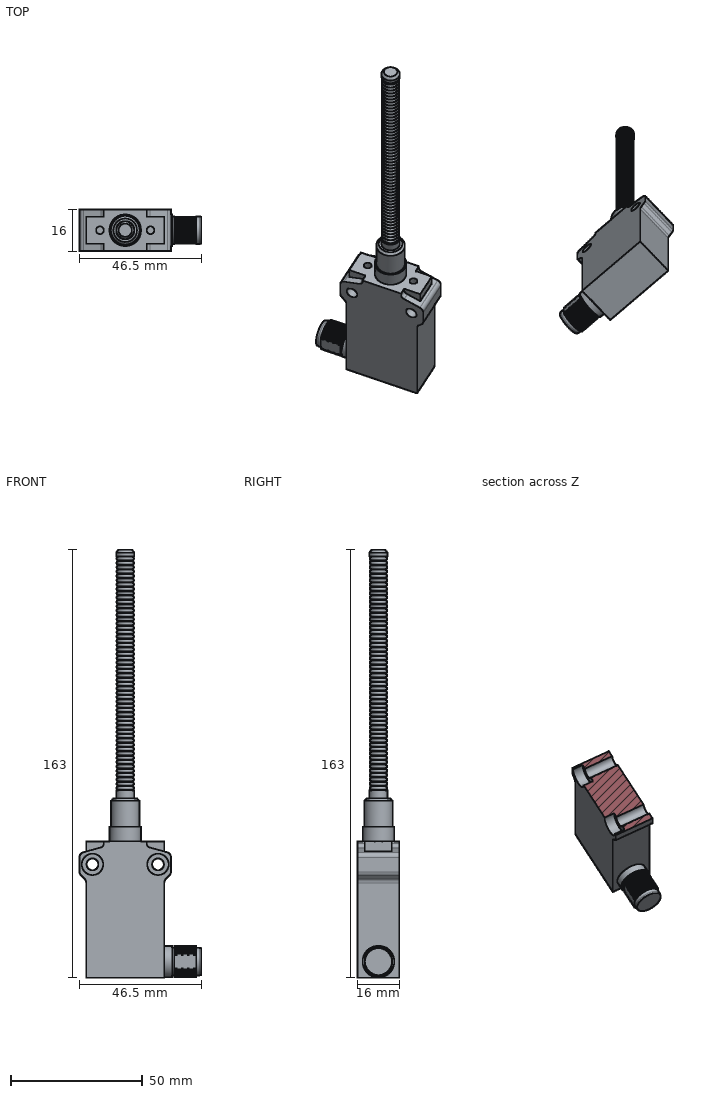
import cadquery as cq
import math

BODY_WIDTH = 29.8
BODY_DEPTH = 16.0
BODY_HEIGHT = 52.0

EAR_SPAN = 34.9
EAR_LOWER_Z = 39.6
EAR_UPPER_Z = 47.5
EAR_SLOPE = math.radians(15)
EAR_FILLET = 2.0
SHOULDER_HALF_WIDTH = 8.2
SHOULDER_FILLET = 1.6
BLOCK_DEPTH = 10.3

SCREW_SPACING = 25.0
SCREW_Z = 43.2
SCREW_DIAMETER = 4.4
SCREW_HEAD_DIAMETER = 8.2
SCREW_HEAD_DEPTH = 4.0
TOP_HOLE_SPACING = 19.2
TOP_HOLE_DIAMETER = 3.0
TOP_HOLE_DEPTH = 4.9

COLLAR_DIAMETER = 12.0
COLLAR_HEIGHT = 5.5
SLEEVE_DIAMETER = 11.0
SLEEVE_HEIGHT = 10.8
SLEEVE_CHAMFER = 1.0
FERRULE_DIAMETER = 7.0
FERRULE_HEIGHT = 3.1

TOTAL_HEIGHT = 163.0
CAP_DIAMETER = FERRULE_DIAMETER
CAP_HEIGHT = 2.6
CAP_CHAMFER_HEIGHT = 1.1
CAP_CHAMFER_DEPTH = 1.0

SPRING_DIAMETER = 6.7
COIL_COUNT = 54
COIL_GAP = 0.3

CONNECTOR_Z = 6.2
CONNECTOR_END_X = 29.0
STUB_DIAMETER = 12.0
STUB_LENGTH = 3.0
NECK_DIAMETER = 10.6
NECK_LENGTH = 0.8
FLAT_SPACING = 10.3
KNURL_DIAMETER = 11.9
KNURL_LENGTH = 8.3
KNURL_TOOTH_COUNT = 36
KNURL_TOOTH_DEPTH = 0.25
RING_COUNT = 4
RING_PITCH = 2.3
RING_WIDTH = 0.5
END_CHAMFER_LENGTH = 0.8
END_CHAMFER_DEPTH = 0.2


def box_between(x_min, x_max, y_size, z_min, z_max):
    """A box centred on Y."""
    return cq.Workplane("XY").box(
        x_max - x_min, y_size, z_max - z_min, centered=(False, True, False)
    ).translate((x_min, 0, z_min))


def ear_plate():
    """The eared outline over the full depth, with its sloping shoulders."""
    body_x = BODY_WIDTH / 2
    ear_x = EAR_SPAN / 2
    shoulder_z = EAR_UPPER_Z + (ear_x - SHOULDER_HALF_WIDTH) * math.tan(EAR_SLOPE)
    right_half = [
        (body_x, 0),
        (body_x, EAR_LOWER_Z - (ear_x - body_x)),
        (ear_x, EAR_LOWER_Z),
        (ear_x, EAR_UPPER_Z),
        (SHOULDER_HALF_WIDTH, shoulder_z),
        (SHOULDER_HALF_WIDTH, BODY_HEIGHT),
    ]
    left_half = [(-x, z) for x, z in reversed(right_half)]
    plate = cq.Workplane("XZ").polyline(right_half + left_half).close().extrude(BODY_DEPTH / 2, both=True)

    margin = 0.2
    ear_edges = cq.selectors.BoxSelector(
        (-ear_x - margin, -BODY_DEPTH, EAR_LOWER_Z - (ear_x - body_x) - margin),
        (ear_x + margin, BODY_DEPTH, EAR_UPPER_Z + margin),
    )
    shoulder_edges = cq.selectors.BoxSelector(
        (-ear_x, -BODY_DEPTH, shoulder_z - margin),
        (ear_x, BODY_DEPTH, shoulder_z + margin),
    )
    plate = plate.edges("|Y").edges(ear_edges).fillet(EAR_FILLET)
    return plate.edges("|Y").edges(shoulder_edges).fillet(SHOULDER_FILLET)


def make_housing():
    block = box_between(-BODY_WIDTH / 2, BODY_WIDTH / 2, BLOCK_DEPTH, 0, BODY_HEIGHT)
    housing = ear_plate().union(block)
    for side in (-1, 1):
        screw_face = cq.Workplane("XZ", origin=(side * SCREW_SPACING / 2, -BODY_DEPTH / 2, SCREW_Z))
        screw_hole = screw_face.circle(SCREW_DIAMETER / 2).extrude(-BODY_DEPTH)
        screw_head = screw_face.circle(SCREW_HEAD_DIAMETER / 2).extrude(-SCREW_HEAD_DEPTH)
        top_hole = (
            cq.Workplane("XY", origin=(side * TOP_HOLE_SPACING / 2, 0, BODY_HEIGHT))
            .circle(TOP_HOLE_DIAMETER / 2)
            .extrude(-TOP_HOLE_DEPTH)
        )
        housing = housing.cut(screw_hole).cut(screw_head).cut(top_hole)
    return housing


def make_boot():
    collar = cq.Workplane("XY", origin=(0, 0, BODY_HEIGHT)).circle(COLLAR_DIAMETER / 2).extrude(COLLAR_HEIGHT)
    sleeve = (
        collar.faces(">Z").workplane().circle(SLEEVE_DIAMETER / 2).extrude(SLEEVE_HEIGHT)
        .faces(">Z").edges().chamfer(SLEEVE_CHAMFER)
    )
    return sleeve.faces(">Z").workplane().circle(FERRULE_DIAMETER / 2).extrude(FERRULE_HEIGHT)


def make_cap():
    return (
        cq.Workplane("XY", origin=(0, 0, TOTAL_HEIGHT - CAP_HEIGHT))
        .circle(CAP_DIAMETER / 2)
        .extrude(CAP_HEIGHT)
        .faces(">Z").chamfer(CAP_CHAMFER_HEIGHT, CAP_CHAMFER_DEPTH)
    )


def make_spring():
    """A rod whose outside is a stack of half-round coils, with a short groove floor between them."""
    bottom_z = BODY_HEIGHT + COLLAR_HEIGHT + SLEEVE_HEIGHT + FERRULE_HEIGHT
    top_z = TOTAL_HEIGHT - CAP_HEIGHT
    pitch = (top_z - bottom_z) / COIL_COUNT
    bulge = (pitch - COIL_GAP) / 2
    crest_radius = SPRING_DIAMETER / 2
    root_radius = crest_radius - bulge
    profile = cq.Workplane("XZ").moveTo(0, bottom_z).lineTo(root_radius, bottom_z)
    for index in range(COIL_COUNT):
        center_z = bottom_z + (index + 0.5) * pitch
        profile = profile.lineTo(root_radius, center_z - bulge)
        profile = profile.threePointArc((crest_radius, center_z), (root_radius, center_z + bulge))
    profile = profile.lineTo(root_radius, top_z).lineTo(0, top_z).close()
    return profile.revolve(360, (0, 0, 0), (0, 1, 0))


def disc(start_x, length, diameter):
    """A round disc on the connector axis."""
    return cq.Workplane("YZ", origin=(start_x, 0, CONNECTOR_Z)).circle(diameter / 2).extrude(length)


def knurl(start_x):
    """Pointed teeth along X, interrupted by evenly spaced ring grooves as deep as the teeth."""
    tip_radius = KNURL_DIAMETER / 2
    root_radius = tip_radius - KNURL_TOOTH_DEPTH
    outline = []
    for step in range(2 * KNURL_TOOTH_COUNT):
        radius = root_radius if step % 2 else tip_radius
        angle = math.pi * step / KNURL_TOOTH_COUNT
        outline.append((radius * math.cos(angle), radius * math.sin(angle)))
    end_plane = cq.Workplane("YZ", origin=(start_x, 0, CONNECTOR_Z))
    grip = end_plane.polyline(outline).close().extrude(KNURL_LENGTH)
    for index in range(RING_COUNT):
        center_x = start_x + KNURL_LENGTH / 2 + (index - (RING_COUNT - 1) / 2) * RING_PITCH
        ring_x = center_x - RING_WIDTH / 2
        ring = disc(ring_x, RING_WIDTH, 2 * KNURL_DIAMETER).cut(disc(ring_x, RING_WIDTH, 2 * root_radius))
        grip = grip.cut(ring)
    return grip


def flat_waste(start_x):
    """The two slabs that lie outside the flats, along the knurled length only."""
    end_x = start_x + KNURL_LENGTH
    bottom_z = CONNECTOR_Z - KNURL_DIAMETER
    top_z = CONNECTOR_Z + KNURL_DIAMETER
    between_flats = box_between(start_x, end_x, FLAT_SPACING, bottom_z, top_z)
    return box_between(start_x, end_x, 2 * KNURL_DIAMETER, bottom_z, top_z).cut(between_flats)


def make_connector():
    stub_x = BODY_WIDTH / 2
    neck_x = stub_x + STUB_LENGTH
    knurl_x = neck_x + NECK_LENGTH
    core = (
        disc(neck_x, CONNECTOR_END_X - neck_x, NECK_DIAMETER)
        .faces(">X").chamfer(END_CHAMFER_LENGTH, END_CHAMFER_DEPTH)
    )
    nut = core.union(knurl(knurl_x))
    nut = nut.cut(flat_waste(knurl_x))
    return disc(stub_x, STUB_LENGTH, STUB_DIAMETER).union(nut)


housing = make_housing()
boot = make_boot()
spring = make_spring()
cap = make_cap()
connector = make_connector()

result = cq.Compound.makeCompound(
    [housing.val(), boot.val(), spring.val(), cap.val(), connector.val()]
)